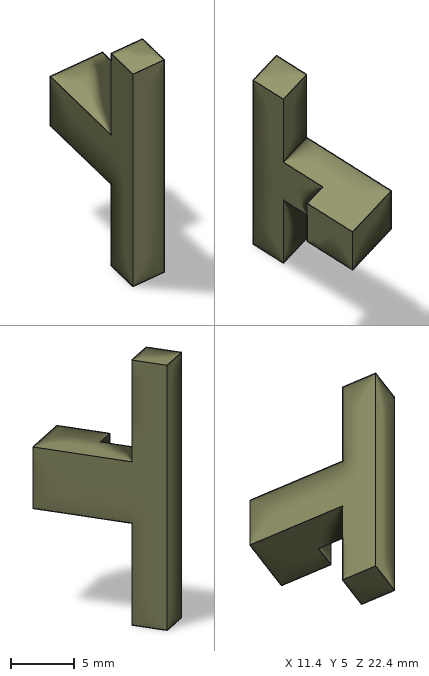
import cadquery as cq

total_length = 11.4
bar_height = 22.4

thickness = 3.0
bar_width = 3.0

arm_height = 5.2
head_length = 4.5
head_depth = 5.0


def block(x_start, length, depth, height):
    """Block with its front face on Y = 0, centred on Z = 0."""
    return (
        cq.Workplane("XY")
        .box(length, depth, height, centered=(False, False, True))
        .translate((x_start, 0, 0))
    )


bar = block(total_length - bar_width, bar_width, thickness, bar_height)
arm = block(0, total_length, thickness, arm_height)
head = block(0, head_length, head_depth, arm_height)

result = bar.union(arm).union(head).clean()